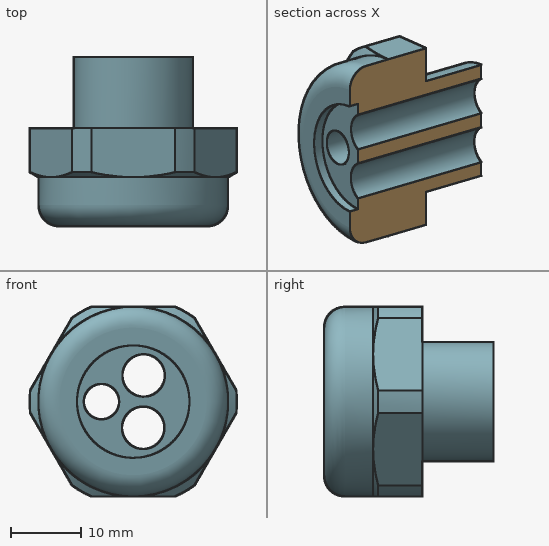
import cadquery as cq
import math

cap_diameter = 27.0
cap_length = 7.0
cap_edge_radius = 3.0

hex_across_flats = cap_diameter
hex_corner_diameter = 29.5
hex_length = 7.0
hex_chamfer_angle = 30.0

total_length = 24.1
spigot_diameter = 17.0
spigot_length = total_length - cap_length - hex_length

recess_diameter = 16.0
recess_depth = 1.5

large_hole_diameter = 6.0
small_hole_diameter = 5.0
cable_holes = [
    (1.48, 3.72, large_hole_diameter),
    (1.42, -3.72, large_hole_diameter),
    (-4.5, 0.0, small_hole_diameter),
]


def cylinder(diameter, start, length, x=0, z=0):
    """Cylinder along +Y that begins at Y = start."""
    base = cq.Workplane("XZ", origin=(x, start, z))
    return base.circle(diameter / 2).extrude(-length)


def rounded_cap():
    cap = cylinder(cap_diameter, 0, cap_length)
    return cap.faces("<Y").edges().fillet(cap_edge_radius)


def hex_collar():
    """Hexagon with turned corners and a conical chamfer towards the cap."""
    hex_vertex_diameter = hex_across_flats / math.cos(math.pi / 6)
    prism = (
        cq.Workplane("XZ", origin=(0, cap_length, 0))
        .polygon(6, hex_vertex_diameter)
        .extrude(-hex_length)
    )
    chamfer_width = (hex_corner_diameter - hex_across_flats) / 2
    chamfer_length = chamfer_width * math.tan(math.radians(hex_chamfer_angle))
    turned_blank = (
        cylinder(hex_corner_diameter, cap_length, hex_length)
        .faces("<Y")
        .edges()
        .chamfer(chamfer_length, chamfer_width)
    )
    return prism.intersect(turned_blank)


spigot = cylinder(spigot_diameter, cap_length + hex_length, spigot_length)
result = rounded_cap().union(hex_collar()).union(spigot)

result = result.cut(cylinder(recess_diameter, 0, recess_depth))
for hole_x, hole_z, hole_diameter in cable_holes:
    result = result.cut(cylinder(hole_diameter, 0, total_length, hole_x, hole_z))